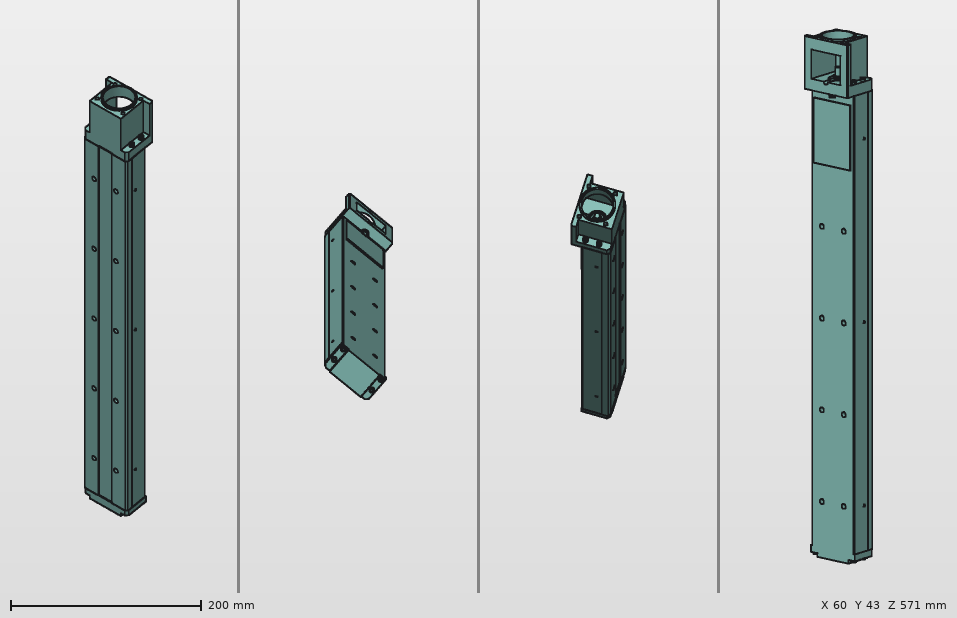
import cadquery as cq


total_length = 571.0
body_width = 60.0
core_width = 43.0
total_depth = 43.0
rail_length = 500.0
end_block_length = 11.5

rail_bottom = end_block_length
rail_top = rail_bottom + rail_length
rail_depth = 31.5
rail_base_chamfer = 2.0
rail_back_chamfer = 1.2
foot_height = 9.0
foot_inset = 0.2
wall_inset = 0.5
groove_width = 19.0
groove_depth = 1.6

first_hole_offset = 50.0
mount_hole_count = 5
mount_hole_pitch = 100.0
mount_hole_spacing = 30.0
mount_hole_diameter = 5.5
side_hole_count = 3
side_hole_pitch = 200.0
side_hole_diameter = 2.46
side_hole_depth = 4.0
side_hole_y = 15.0

block_setback = 0.4
block_chamfer = 3.0
end_flange_length = 7.5
end_flange_bottom = rail_bottom - end_flange_length
bracket_foot_length = 12.5
bracket_foot_top = rail_top + bracket_foot_length
collar_height = 2.0
bracket_top = total_length - collar_height
back_plate_thickness = 5.7
back_plate_chamfer = 1.0

axis_y = 23.0
bore_diameter = 34.0
bore_depth = 13.0
collar_diameter = 38.0
window_width = 40.0
motor_hole_diameter = 4.0
motor_hole_x = 17.7
motor_hole_y = 14.5
motor_hole_depth = 10.0

recess_diameter = 20.0
recess_depth = 2.0
recess_floor = bracket_foot_top - recess_depth
shaft_steps = ((16.0, 3.0), (9.5, 5.0), (6.0, 14.0))
floor_groove_diameter = 5.6

screw_head_diameter = 5.5
screw_head_height = 3.0
end_screw_head_height = 2.0
screw_socket_diameter = 3.0
screw_socket_depth = 1.5
screw_x = (body_width + core_width) / 4
screw_y_positions = (13.2, 28.2)

stop_discs = ((7.0, 1.5), (9.5, 1.6), (5.0, 1.6), (7.0, 1.6))

carriage_length = 71.0
carriage_width = 50.0
carriage_back = 33.0
carriage_end_gap = 11.0
carriage_top = rail_top - carriage_end_gap


def block(width, front, back, bottom, top):
    """Box centred on X between the given Y and Z limits."""
    box = cq.Workplane("XY").box(width, back - front, top - bottom, centered=(True, False, False))
    return box.translate((0, front, bottom))


def cylinder(diameter, x, y, bottom, top):
    """Upright cylinder between two Z levels."""
    return cq.Workplane("XY", origin=(x, y, bottom)).circle(diameter / 2).extrude(top - bottom)


def cylinder_along_y(diameter, x, z, front, back):
    """Cylinder parallel to Y between two Y levels."""
    return cq.Workplane("XZ", origin=(x, front, z)).circle(diameter / 2).extrude(front - back)


def both_sides(x):
    """The X positions of a mirrored pair."""
    return (-x, x)


def make_rail():
    foot = block(body_width - 2 * foot_inset, 0, foot_height, rail_bottom, rail_top)
    foot = foot.edges("|Z and <Y").chamfer(rail_base_chamfer)
    wall = block(body_width - 2 * wall_inset, foot_height, rail_depth, rail_bottom, rail_top)
    wall = wall.edges("|Z and >Y").chamfer(rail_back_chamfer)
    rail = foot.union(wall)
    rail = rail.cut(block(groove_width, 0, groove_depth, rail_bottom, rail_top))

    for i in range(mount_hole_count):
        z = rail_bottom + first_hole_offset + i * mount_hole_pitch
        for x in both_sides(mount_hole_spacing / 2):
            rail = rail.cut(cylinder_along_y(mount_hole_diameter, x, z, 0, rail_depth))

    for i in range(side_hole_count):
        z = rail_bottom + first_hole_offset + i * side_hole_pitch
        for x in (-body_width / 2, body_width / 2 - side_hole_depth):
            hole = cq.Workplane("YZ", origin=(x, side_hole_y, z)).circle(side_hole_diameter / 2)
            rail = rail.cut(hole.extrude(side_hole_depth))

    disc_top = rail_top
    for diameter, thickness in stop_discs:
        disc_bottom = disc_top - thickness
        rail = rail.union(cylinder(diameter, 0, rail_depth, disc_bottom, disc_top))
        disc_top = disc_bottom
    return rail


def make_flange(back, bottom, top):
    """Full-width block whose two front edges are chamfered."""
    flange = block(body_width, block_setback, back, bottom, top)
    return flange.edges("|Z and <Y").chamfer(block_chamfer)


def add_screw_heads(body, bottom, height, socket_bottom):
    """Screw heads at both sides of a block, each with a round socket."""
    for x in both_sides(screw_x):
        for y in screw_y_positions:
            head = cylinder(screw_head_diameter, x, y, bottom, bottom + height)
            socket = cylinder(screw_socket_diameter, x, y, socket_bottom, socket_bottom + screw_socket_depth)
            body = body.union(head.cut(socket))
    return body


def make_end_block():
    end_block = make_flange(rail_depth, end_flange_bottom, rail_bottom)
    end_block = end_block.union(block(core_width, block_setback, rail_depth, 0, rail_bottom))
    head_bottom = end_flange_bottom - end_screw_head_height
    return add_screw_heads(end_block, head_bottom, end_screw_head_height, head_bottom)


def make_bracket():
    foot = make_flange(total_depth, rail_top, bracket_foot_top)
    core = block(core_width, block_setback, total_depth, rail_top, bracket_top)
    plate = block(body_width, total_depth - back_plate_thickness, total_depth, rail_top, bracket_top)
    collar = cylinder(collar_diameter, 0, axis_y, bracket_top, total_length)
    bracket = foot.union(core).union(plate)
    bracket = bracket.edges("|Z and >Y").chamfer(back_plate_chamfer)
    bracket = bracket.union(collar)

    chamber_front = axis_y - window_width / 2
    chamber_top = bracket_top - bore_depth
    bracket = bracket.cut(block(window_width, chamber_front, total_depth, bracket_foot_top, chamber_top))
    bracket = bracket.cut(cylinder(bore_diameter, 0, axis_y, chamber_top, total_length))

    for x in both_sides(motor_hole_x):
        for y in (axis_y - motor_hole_y, axis_y + motor_hole_y):
            hole = cylinder(motor_hole_diameter, x, y, bracket_top - motor_hole_depth, total_length)
            bracket = bracket.cut(hole)

    bracket = bracket.cut(cylinder_along_y(floor_groove_diameter, 0, bracket_foot_top, axis_y, total_depth))
    bracket = bracket.cut(cylinder(recess_diameter, 0, axis_y, recess_floor, bracket_foot_top))
    for diameter, height in shaft_steps:
        bracket = bracket.union(cylinder(diameter, 0, axis_y, recess_floor, recess_floor + height))

    socket_bottom = bracket_foot_top + screw_head_height - screw_socket_depth
    return add_screw_heads(bracket, bracket_foot_top, screw_head_height, socket_bottom)


def make_actuator():
    return make_rail().union(make_end_block()).union(make_bracket())


def make_carriage():
    return block(carriage_width, rail_depth, carriage_back, carriage_top - carriage_length, carriage_top)


actuator = make_actuator()
carriage = make_carriage()

result = cq.Compound.makeCompound([actuator.val(), carriage.val()])